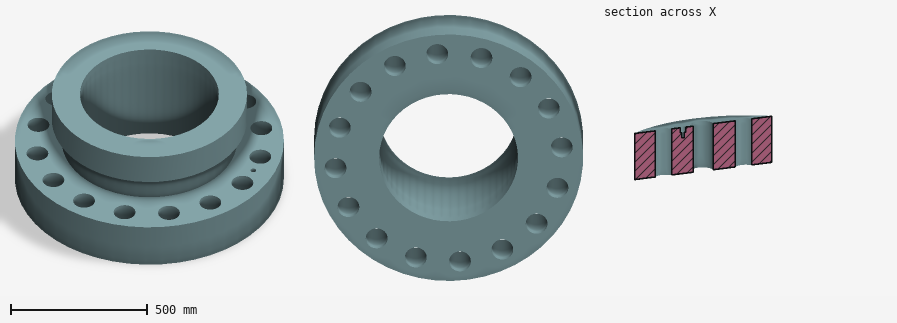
import cadquery as cq
import math

flange_diameter = 984.0
total_height = 400.0
bore_diameter = 508.0

flange_thickness = 178.0
neck_diameter = 642.0
collar_diameter = 714.0
collar_height = 119.0
shoulder_angle = 30.0

bolt_count = 16
bolt_circle_diameter = 831.0
bolt_hole_diameter = 80.0
bolt_pitch_angle = 360.0 / bolt_count

port_diameter = 21.0
port_depth = 20.0
port_tip_diameter = 8.0
port_tip_depth = 39.0
port_angle = bolt_pitch_angle / 2

bolt_circle_radius = bolt_circle_diameter / 2


def turned_body():
    """Revolve the flange, neck, conical shoulder and collar around the bore."""
    bore_radius = bore_diameter / 2
    flange_radius = flange_diameter / 2
    neck_radius = neck_diameter / 2
    collar_radius = collar_diameter / 2
    collar_bottom = total_height - collar_height
    shoulder_height = (collar_radius - neck_radius) * math.tan(math.radians(shoulder_angle))
    profile = [
        (bore_radius, 0),
        (flange_radius, 0),
        (flange_radius, flange_thickness),
        (neck_radius, flange_thickness),
        (neck_radius, collar_bottom - shoulder_height),
        (collar_radius, collar_bottom),
        (collar_radius, total_height),
        (bore_radius, total_height),
    ]
    return cq.Workplane("XZ").polyline(profile).close().revolve(360, (0, 0, 0), (0, 1, 0))


def bolt_holes():
    """Cylinders for the ring of through holes in the flange."""
    return (
        cq.Workplane("XY")
        .polarArray(bolt_circle_radius, 0, 360, bolt_count)
        .circle(bolt_hole_diameter / 2)
        .extrude(flange_thickness)
    )


def port_hole():
    """Stepped cutter sunk into the flange's upper face on the bolt circle."""
    angle = math.radians(port_angle)
    center = (
        bolt_circle_radius * math.cos(angle),
        bolt_circle_radius * math.sin(angle),
        flange_thickness,
    )
    face = cq.Workplane("XY", origin=center)
    mouth = face.circle(port_diameter / 2).extrude(-port_depth)
    tip = face.circle(port_tip_diameter / 2).extrude(-port_tip_depth)
    return mouth.union(tip)


result = turned_body().cut(bolt_holes()).cut(port_hole())